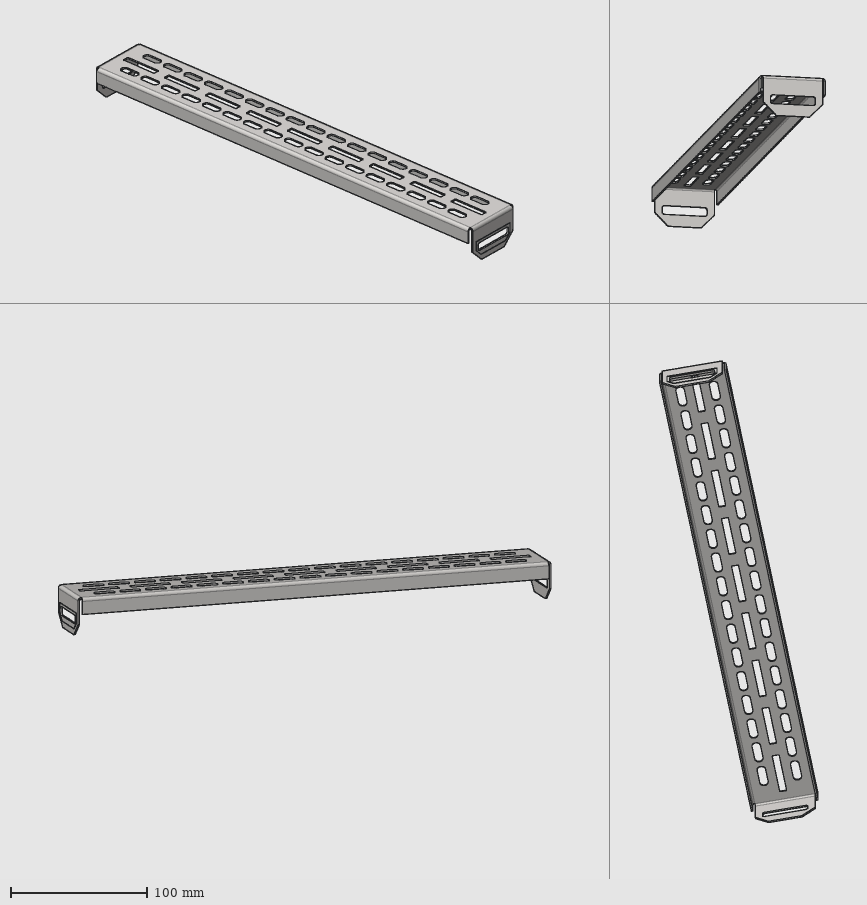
import cadquery as cq

overall_length = 368.0
width = 50.0
height = 30.0

sheet = 1.25
bend_radius = 2.5
side_wall_height = 12.5

flange_chamfer = 10.0
flange_slot_length = 34.0
flange_slot_height = 6.5
flange_slot_depth = 18.0
flange_slot_corner = 2.0

pad_thickness = 0.5
pad_width = 37.5
pad_height = 13.0
pad_top_depth = 12.5
pad_chamfer = 5.0

short_slot_count = 17
short_slot_length = 16.0
short_slot_width = 6.3
short_slot_corner = 3.0
short_row_offset = 12.5
long_slot_count = 9
long_slot_length = 30.0
long_slot_width = 5.0
long_slot_corner = 0.7
short_row_span = 319.8
long_row_span = short_row_span

length = overall_length - pad_thickness

flat_length = length - 2 * bend_radius
flat_width = width - 2 * bend_radius


def folded_channel(plane, span, leg_height, depth):
    """Inverted U of bent sheet, centred on the origin with its top face at Z = 0."""
    fold_axis = "|X" if plane == "YZ" else "|Y"
    outer = (
        cq.Workplane(plane)
        .center(0, -leg_height / 2)
        .rect(span, leg_height)
        .extrude(depth / 2, both=True)
        .faces(">Z")
        .edges(fold_axis)
        .fillet(bend_radius)
    )
    inner = (
        cq.Workplane(plane)
        .center(0, -sheet - leg_height / 2)
        .rect(span - 2 * sheet, leg_height)
        .extrude(depth / 2, both=True)
        .faces(">Z")
        .edges(fold_axis)
        .fillet(bend_radius - sheet)
    )
    return outer.cut(inner)


def slot_row(count, row_span, slot_length, slot_width, corner, row_y):
    """Row of round-cornered slot cutters along X through the top plate."""
    return (
        cq.Workplane("XY")
        .center(0, row_y)
        .rarray(row_span / (count - 1), 3.5, count, 1)
        .rect(slot_length, slot_width)
        .extrude(sheet, both=True)
        .edges("|Z")
        .fillet(corner)
    )


side_channel = folded_channel("YZ", width, side_wall_height, flat_length)

end_channel = folded_channel("XZ", length, height, flat_width)
end_channel = end_channel.faces("<Z").edges("|X").chamfer(flange_chamfer)

pad = (
    cq.Workplane("YZ", origin=(length / 2, 0, -pad_top_depth - pad_height / 2))
    .rect(pad_width, pad_height)
    .extrude(pad_thickness)
    .faces("<Z")
    .edges("|X")
    .chamfer(pad_chamfer)
)
end_channel = end_channel.union(pad)

flange_slots = (
    cq.Workplane("YZ")
    .center(0, -flange_slot_depth)
    .rect(flange_slot_length, flange_slot_height)
    .extrude(overall_length, both=True)
    .edges("|X")
    .fillet(flange_slot_corner)
)
end_channel = end_channel.cut(flange_slots)

result = side_channel.union(end_channel)

for row_y in (-short_row_offset, short_row_offset):
    result = result.cut(
        slot_row(
            short_slot_count,
            short_row_span,
            short_slot_length,
            short_slot_width,
            short_slot_corner,
            row_y,
        )
    )
result = result.cut(
    slot_row(long_slot_count, long_row_span, long_slot_length, long_slot_width, long_slot_corner, 0)
)